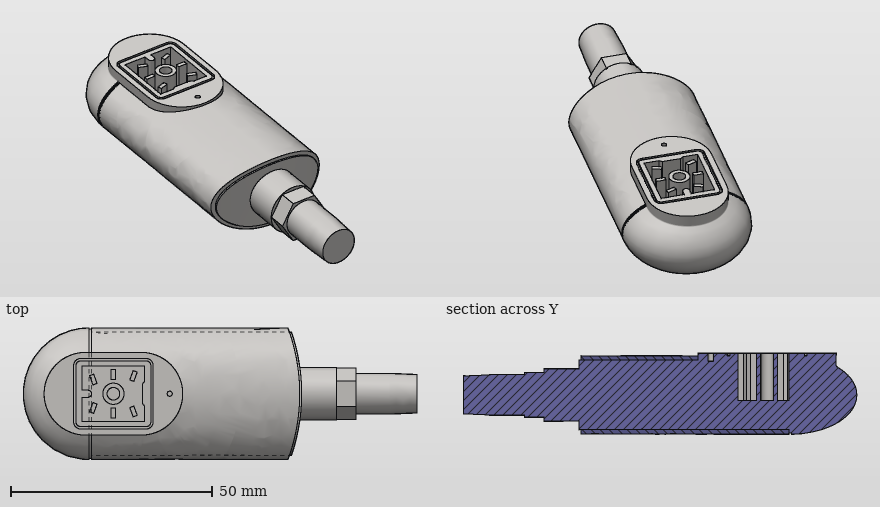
import cadquery as cq


LENGTH = 97.9
HALF_WIDTH = 32.8 / 2
HALF_HEIGHT = 9.8
NOSE_LENGTH = HALF_WIDTH
GROOVE_WIDTH = 0.6
GROOVE_DEPTH = 0.3
SLEEVE_START = NOSE_LENGTH + GROOVE_WIDTH
SLEEVE_SIDE_END = 65.8
SLEEVE_END = 68.7
SLEEVE_WALL = 1.1
CAP_PROTRUSION = 0.5

PLATE_TOP = 10.4
PLATE_RADIUS = 10.3
PLATE_CENTER = 22.4
PLATE_STRAIGHT = 13.9
PLATE_FILLET = 0.3
SELECTION_MARGIN = 0.1

SEAL_LENGTH = 19.8
SEAL_BREADTH = 17.5
SEAL_WIDTH = 0.6
SEAL_CORNER = 1.8
SEAL_DEPTH = 0.6

POCKET_LENGTH = 15.6
POCKET_BREADTH = 13.8
POCKET_DEPTH = 11.7
KEY_WIDTH = 1.8
KEY_REACH = 2.35
RIB_REACH = 0.6
RIB_BASE = 6.3
RIB_CREST = 4.7
POST_RADIUS = 2.6
POST_HOLE_RADIUS = 1.6
CONTACT_LENGTH = 2.4
CONTACT_THICKNESS = 1.1
CONTACT_TILT = 20.0
SIDE_CONTACT_Y = 4.8
CORNER_CONTACT_X = 5.0
KEY_CONTACT_Y = 3.5
RIB_CONTACT_Y = 4.4

DOT_OFFSET = 14.0
DOT_DIAMETER = 1.3
DOT_DEPTH = 2.0

COLLAR_RADIUS = 6.6
COLLAR_END = 77.9
HEX_END = 82.7
HEX_FLATS = 11.2
HEX_TURN = 30.0
STEM_RADIUS = 5.1
STEM_END = 91.0
TIP_RADIUS = 4.8

POCKET_FLOOR = PLATE_TOP - POCKET_DEPTH


def elliptic_bar(start, end, inset):
    """Bar along X with the barrel section reduced by an inset."""
    section = cq.Workplane("YZ", origin=(start, 0, 0))
    return section.ellipse(HALF_WIDTH - inset, HALF_HEIGHT - inset).extrude(end - start)


def rear_arch(offset):
    """Upright disc whose rim arches the rear end, moved outwards by an offset."""
    sagitta = SLEEVE_END - SLEEVE_SIDE_END
    arch_radius = (HALF_WIDTH**2 + sagitta**2) / (2 * sagitta)
    arch_center = SLEEVE_END - arch_radius
    disc = cq.Workplane("XY", origin=(arch_center, 0, -HALF_HEIGHT))
    return disc.circle(arch_radius + offset).extrude(2 * HALF_HEIGHT)


def make_plate():
    """Stadium block from the main axis up to the plate top."""
    plan = cq.Workplane("XY").center(PLATE_CENTER, 0)
    return plan.slot2D(PLATE_STRAIGHT + 2 * PLATE_RADIUS, 2 * PLATE_RADIUS).extrude(PLATE_TOP)


def front_block():
    """Block holding everything ahead of the nose end."""
    size = 4 * HALF_WIDTH
    return cq.Workplane("XY").box(size, size, size).translate((NOSE_LENGTH - size / 2, 0, 0))


def make_nose():
    """Half ellipse section revolved half a turn about the vertical at the nose end."""
    profile = (
        cq.Workplane("XZ", origin=(NOSE_LENGTH, 0, 0))
        .moveTo(0, -HALF_HEIGHT)
        .ellipseArc(HALF_WIDTH, HALF_HEIGHT, -90, 90, startAtCurrent=True)
        .close()
    )
    full = profile.revolve(360, (0, 0), (0, 1))
    return full.intersect(front_block())


def make_filleted_nose():
    """Nose with its part of the plate and a fillet where they meet."""
    nose = make_nose().union(make_plate().intersect(front_block()))
    joint_box = cq.selectors.BoxSelector(
        (0, -HALF_WIDTH, 0),
        (NOSE_LENGTH - SELECTION_MARGIN, HALF_WIDTH, HALF_HEIGHT),
    )
    return nose.edges(joint_box).edges("not |Z").fillet(PLATE_FILLET)


def rod(radius, start, end):
    """Round rod along the main axis."""
    return cq.Workplane("YZ", origin=(start, 0, 0)).circle(radius).extrude(end - start)


def make_gland():
    """Collar, hexagon, stem and tapered tip of the cable gland."""
    hexagon = (
        cq.Workplane("YZ", origin=(COLLAR_END, 0, 0))
        .transformed(rotate=(0, 0, HEX_TURN))
        .polygon(6, HEX_FLATS, circumscribed=True)
        .extrude(HEX_END - COLLAR_END)
    )
    tip = (
        cq.Workplane("YZ", origin=(STEM_END, 0, 0))
        .circle(STEM_RADIUS)
        .workplane(offset=LENGTH - STEM_END)
        .circle(TIP_RADIUS)
        .loft()
    )
    collar = rod(COLLAR_RADIUS, SLEEVE_SIDE_END, COLLAR_END)
    return collar.union(hexagon).union(rod(STEM_RADIUS, HEX_END, STEM_END)).union(tip)


def pocket_plane():
    """Plane on the pocket floor, centred on the plate."""
    return cq.Workplane("XY", origin=(PLATE_CENTER, 0, POCKET_FLOOR))


def make_contact(x, y, tilt):
    """Flat upright contact standing in the pocket."""
    return (
        pocket_plane()
        .center(x, y)
        .transformed(rotate=(0, 0, tilt))
        .rect(CONTACT_THICKNESS, CONTACT_LENGTH)
        .extrude(POCKET_DEPTH)
    )


def make_pocket():
    """Pocket volume, less the keys, post and contacts left standing in it."""
    half = POCKET_LENGTH / 2
    key_round = KEY_WIDTH / 2
    key_straight = -half + KEY_REACH - key_round
    key = (
        pocket_plane()
        .moveTo(-half, -key_round)
        .lineTo(key_straight, -key_round)
        .threePointArc((-half + KEY_REACH, 0), (key_straight, key_round))
        .lineTo(-half, key_round)
        .close()
        .extrude(POCKET_DEPTH)
    )
    rib = (
        pocket_plane()
        .moveTo(half, -RIB_BASE / 2)
        .lineTo(half - RIB_REACH, -RIB_CREST / 2)
        .lineTo(half - RIB_REACH, RIB_CREST / 2)
        .lineTo(half, RIB_BASE / 2)
        .close()
        .extrude(POCKET_DEPTH)
    )
    post = pocket_plane().circle(POST_RADIUS).circle(POST_HOLE_RADIUS).extrude(POCKET_DEPTH)
    pocket = pocket_plane().rect(POCKET_LENGTH, POCKET_BREADTH).extrude(POCKET_DEPTH)
    pocket = pocket.cut(key).cut(rib).cut(post)
    for side in (-1, 1):
        pocket = pocket.cut(make_contact(0, side * SIDE_CONTACT_Y, 0))
        pocket = pocket.cut(make_contact(-CORNER_CONTACT_X, side * KEY_CONTACT_Y, side * CONTACT_TILT))
        pocket = pocket.cut(make_contact(CORNER_CONTACT_X, side * RIB_CONTACT_Y, -side * CONTACT_TILT))
    return pocket


def rounded_block(length, breadth, corner):
    """Block with rounded corners reaching down from the plate top."""
    top = cq.Workplane("XY", origin=(PLATE_CENTER, 0, PLATE_TOP))
    return top.rect(length, breadth).extrude(-SEAL_DEPTH).edges("|Z").fillet(corner)


def make_seal_groove():
    """Ring-shaped groove around the pocket."""
    outer = rounded_block(SEAL_LENGTH, SEAL_BREADTH, SEAL_CORNER)
    inner = rounded_block(
        SEAL_LENGTH - 2 * SEAL_WIDTH, SEAL_BREADTH - 2 * SEAL_WIDTH, SEAL_CORNER - SEAL_WIDTH
    )
    return outer.cut(inner)


def make_dot():
    """Small blind hole in the plate."""
    top = cq.Workplane("XY", origin=(PLATE_CENTER + DOT_OFFSET, 0, PLATE_TOP))
    return top.circle(DOT_DIAMETER / 2).extrude(-DOT_DEPTH)


def make_housing():
    """Nose, core, connector plate and gland as one solid."""
    neck = elliptic_bar(NOSE_LENGTH, SLEEVE_START, GROOVE_DEPTH)
    core = elliptic_bar(SLEEVE_START, LENGTH, SLEEVE_WALL).intersect(rear_arch(CAP_PROTRUSION))
    housing = make_filleted_nose().union(neck).union(core).union(make_plate()).union(make_gland())
    return housing.cut(make_pocket()).cut(make_seal_groove()).cut(make_dot())


def make_sleeve():
    """Elliptical sleeve around the core, notched to fit the connector plate."""
    tube = elliptic_bar(SLEEVE_START, LENGTH, 0).cut(elliptic_bar(SLEEVE_START, LENGTH, SLEEVE_WALL))
    return tube.intersect(rear_arch(0)).cut(make_plate())


housing = make_housing()
sleeve = make_sleeve()
result = cq.Compound.makeCompound([housing.val(), sleeve.val()])